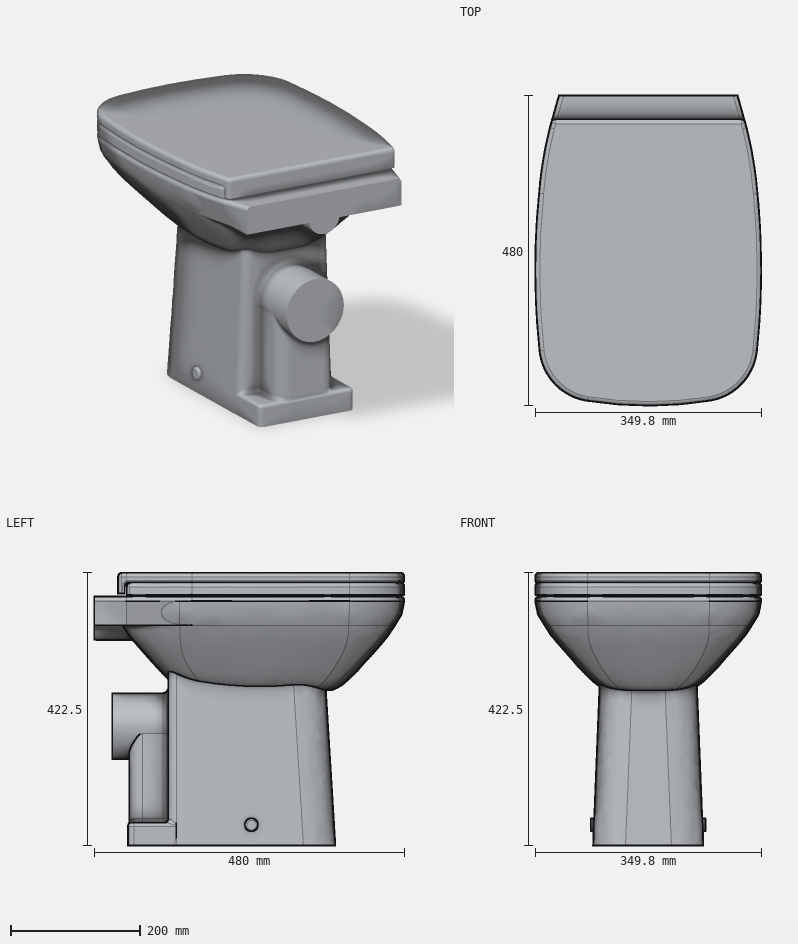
import cadquery as cq

front_y = -480.0
half_width = 174.9
widest_y = -268.7
front_corner_x = 160.0
front_corner_y = -458.5
front_corner_radius = 88.5
side_end_x = 169.0
side_end_y = -151.0
shoulder_mid_x = 162.5
shoulder_mid_y = -100.0
shoulder_x = 152.0
shoulder_y = -49.5
rear_half_width = 138.0
top_edge_radius = 6.5

clearance = 5.0
pick_tolerance = 0.5

lid_top = 422.5
seat_top = 407.0
seat_bottom = 387.5
bowl_top = 385.5
rim_bottom = 378.0
flange_bottom = 340.5

lid_rear_y = -37.0
lid_skirt_thickness = 10.5
lid_skirt_bottom = 389.5
lid_inner_radius = 6.5
lid_lower_edge = 3.5
seat_rear_gap = 3.0
seat_corner_radius = 5.0
seat_lower_edge = 1.5
rear_pad_diameter = 21.0
rear_pad_x = 80.5
rear_pad_y = -69.5
front_pad_diameter = 12.0
front_pad_x = 151.5
front_pad_y = -361.5

basin_rear_y = -29.8
basin_rear_corner_x = 151.0
upper_basin_levels = [
    (rim_bottom, 0.0, front_corner_radius, 115.0),
    (360.0, 3.5, 85.0, 112.0),
    (flange_bottom, 14.5, 74.0, 101.0),
]
lower_basin_levels = [
    (flange_bottom, 14.5, 74.0, 101.0),
    (313.0, 34.5, 53.7, 81.5),
    (279.5, 64.5, 38.5, 62.5),
    (254.5, 89.0, 33.5, 57.5),
    (240.0, 113.0, 33.5, 48.0),
]
flange_shoulder_inset = 13.5
flange_side_inset = 14.5

pedestal_half_width = 85.5
pedestal_front_y = -373.5
pedestal_rear_y = -114.5
pedestal_height = 273.5
pedestal_side_draft = 11.0
pedestal_front_draft = 17.0
pedestal_front_corner = 50.0
pedestal_rear_corner = 12.5

outlet_diameter = 102.0
outlet_z = 185.0
outlet_rear_y = -28.0
outlet_length = 110.5
root_radius = 8.5
support_half_width = 50.0
support_rear_y = -54.0
support_corner_radius = 20.5
foot_half_width = 85.0
foot_rear_y = -52.5
foot_height = 35.5
foot_corner_radius = 9.0
foot_edge_radius = 5.5
foot_root_radius = 6.5

inlet_diameter = 55.0
inlet_z = 345.5
inlet_length = 96.0

cap_diameter = 20.0
cap_face_diameter = 15.0
cap_y = -243.5
cap_z = 32.0
cap_outer_x = 89.5
cap_inner_x = 81.5


def plan_slab(bottom, top, rear_y):
    """Slab with the shared plan outline, cut off square at rear_y."""
    slab = (
        cq.Workplane("XY", origin=(0, 0, bottom))
        .moveTo(-front_corner_x, front_corner_y)
        .threePointArc((0, front_y), (front_corner_x, front_corner_y))
        .threePointArc((half_width, widest_y), (side_end_x, side_end_y))
        .threePointArc((shoulder_mid_x, shoulder_mid_y), (shoulder_x, shoulder_y))
        .lineTo(rear_half_width, 0)
        .lineTo(-rear_half_width, 0)
        .lineTo(-shoulder_x, shoulder_y)
        .threePointArc((-shoulder_mid_x, shoulder_mid_y), (-side_end_x, side_end_y))
        .threePointArc((-half_width, widest_y), (-front_corner_x, front_corner_y))
        .close()
        .extrude(top - bottom)
    )
    front_corners = edges_within(half_width, front_y, front_corner_y, bottom, top)
    slab = slab.edges("|Z").edges(front_corners).fillet(front_corner_radius)
    return slab.intersect(box_between(half_width + clearance, front_y - clearance, rear_y, bottom, top))


def edges_within(half_x, y_min, y_max, bottom, top):
    """Selector for edges that lie wholly in a box centred on x = 0, with a small tolerance."""
    t = pick_tolerance
    return cq.selectors.BoxSelector(
        (-half_x - t, y_min - t, bottom - t), (half_x + t, y_max + t, top + t), boundingbox=True
    )


def box_between(half_x, y_min, y_max, bottom, top):
    """Box centred on x = 0 between the given y and z limits."""
    return cq.Workplane("XY").box(2 * half_x, y_max - y_min, top - bottom, centered=False).translate(
        (-half_x, y_min, bottom)
    )


def pipe(diameter, z, rear_y, length):
    """Cylinder along Y on the mirror plane, reaching forward from rear_y."""
    return cq.Workplane("XZ", origin=(0, rear_y, z)).circle(diameter / 2).extrude(length)


def basin_section(height, inset, front_radius, rear_radius):
    """Closed wire of the basin at one height."""
    corner_x = front_corner_x - inset
    corner_y = front_corner_y + inset
    rear_x = basin_rear_corner_x - inset
    rear_y = basin_rear_y - inset
    sharp = (
        cq.Workplane("XY", origin=(0, 0, height))
        .moveTo(-corner_x, corner_y)
        .threePointArc((0, front_y + inset), (corner_x, corner_y))
        .threePointArc((half_width - inset, widest_y), (rear_x, rear_y))
        .lineTo(-rear_x, rear_y)
        .threePointArc((-half_width + inset, widest_y), (-corner_x, corner_y))
        .close()
        .val()
    )
    face = cq.Face.makeFromWires(sharp)
    face = face.fillet2D(front_radius, [v for v in face.Vertices() if v.Y < corner_y + clearance])
    face = face.fillet2D(rear_radius, [v for v in face.Vertices() if v.Y > rear_y - clearance])
    return face.outerWire()


def make_basin():
    upper = cq.Solid.makeLoft([basin_section(*level) for level in upper_basin_levels])
    lower = cq.Solid.makeLoft([basin_section(*level) for level in lower_basin_levels])
    return cq.Workplane(upper).union(cq.Workplane(lower))


def flange_section(height, shoulder_inset, side_inset):
    """Closed wire of the rear flange, from the rear face to the end of the side arcs."""
    mid_inset = (shoulder_inset + side_inset) / 2
    mid_x = shoulder_mid_x - mid_inset
    end_x = side_end_x - side_inset
    neck_x = shoulder_x - shoulder_inset
    return (
        cq.Workplane("XY", origin=(0, 0, height))
        .moveTo(-rear_half_width, 0)
        .lineTo(-neck_x, shoulder_y)
        .threePointArc((-mid_x, shoulder_mid_y), (-end_x, side_end_y))
        .lineTo(end_x, side_end_y)
        .threePointArc((mid_x, shoulder_mid_y), (neck_x, shoulder_y))
        .lineTo(rear_half_width, 0)
        .close()
        .val()
    )


def make_flange():
    lower = flange_section(flange_bottom, flange_shoulder_inset, flange_side_inset)
    upper = flange_section(rim_bottom, 0, 0)
    return cq.Workplane(cq.Solid.makeLoft([lower, upper], True))


def pedestal_section(height, narrowing, front_setback):
    """Closed wire of the pedestal at one height, with large front and small rear corners."""
    x = pedestal_half_width - narrowing
    y = pedestal_front_y + front_setback
    face = cq.Face.makeFromWires(
        cq.Workplane("XY", origin=(0, 0, height))
        .polyline([(-x, y), (x, y), (x, pedestal_rear_y), (-x, pedestal_rear_y)])
        .close()
        .val()
    )
    face = face.fillet2D(pedestal_front_corner, [v for v in face.Vertices() if v.Y < y + clearance])
    rear_vertices = [v for v in face.Vertices() if v.Y > pedestal_rear_y - clearance]
    face = face.fillet2D(pedestal_rear_corner, rear_vertices)
    return face.outerWire()


def make_pedestal():
    lower = pedestal_section(0, 0, 0)
    upper = pedestal_section(pedestal_height, pedestal_side_draft, pedestal_front_draft)
    return cq.Workplane(cq.Solid.makeLoft([lower, upper], True))


def make_foot_and_support():
    """Low foot behind the pedestal with the upright that carries the outlet."""
    inside_y = pedestal_rear_y - pedestal_rear_corner
    foot = box_between(foot_half_width, inside_y, foot_rear_y, 0, foot_height)
    foot = foot.edges("|Z and >Y").fillet(foot_corner_radius)
    foot = foot.faces(">Z").edges("not <Y").fillet(foot_edge_radius)
    support = box_between(support_half_width, inside_y, support_rear_y, 0, outlet_z)
    support = support.edges("|Z and >Y").fillet(support_corner_radius)
    return foot.union(support)


def round_rear_roots(base):
    """Round the inside edges where support, outlet and foot meet each other and the pedestal."""
    root_half_x = outlet_diameter / 2
    rear_face = edges_within(root_half_x, pedestal_rear_y, pedestal_rear_y, foot_height, pedestal_height)
    base = base.edges(rear_face).fillet(root_radius)
    support_start_y = pedestal_rear_y + root_radius
    foot_top = edges_within(support_half_width, support_start_y, support_rear_y, foot_height, foot_height)
    return base.edges(foot_top).fillet(foot_root_radius)


def make_cap(side):
    """Round screw cap on the pedestal flank; side is +1 or -1 in x."""
    cap = (
        cq.Workplane("YZ", origin=(side * cap_inner_x, cap_y, cap_z))
        .circle(cap_diameter / 2)
        .extrude(side * (cap_outer_x - cap_inner_x))
    )
    outer_face = ">X" if side > 0 else "<X"
    return cap.faces(outer_face).edges().fillet((cap_diameter - cap_face_diameter) / 2)


def make_bowl(caps):
    rim = plan_slab(rim_bottom, bowl_top, 0)
    rim = rim.faces(">Z").edges("not >Y").fillet(top_edge_radius)
    outlet = pipe(outlet_diameter, outlet_z, outlet_rear_y, outlet_length)
    inlet = pipe(inlet_diameter, inlet_z, 0, inlet_length)
    bowl = make_pedestal().union(make_foot_and_support()).union(outlet)
    bowl = round_rear_roots(bowl)
    bowl = bowl.union(make_basin()).union(make_flange()).union(rim).union(inlet)
    for cap in caps:
        bowl = bowl.cut(cap)
    return bowl


def make_seat():
    rear_y = lid_rear_y - lid_skirt_thickness - seat_rear_gap
    seat = plan_slab(seat_bottom, seat_top, rear_y)
    seat = seat.edges("|Z and >Y").fillet(seat_corner_radius)
    seat = seat.faces(">Z").edges().fillet(top_edge_radius)
    seat = seat.faces("<Z").edges().fillet(seat_lower_edge)
    pad_height = seat_bottom - bowl_top
    pads = [
        (rear_pad_diameter, rear_pad_x, rear_pad_y),
        (front_pad_diameter, front_pad_x, front_pad_y),
    ]
    for diameter, x, y in pads:
        for side in (-1, 1):
            pad = cq.Workplane("XY", origin=(side * x, y, bowl_top)).circle(diameter / 2)
            seat = seat.union(pad.extrude(pad_height))
    return seat


def make_lid():
    """Flat lid with a skirt that hangs down behind the seat."""
    skirt_front_y = lid_rear_y - lid_skirt_thickness
    lid = plan_slab(lid_skirt_bottom, lid_top, lid_rear_y)
    recess_half_x = half_width + clearance
    recess_front_y = front_y - clearance
    recess = box_between(recess_half_x, recess_front_y, skirt_front_y, lid_skirt_bottom, seat_top)
    lid = lid.cut(recess)
    upright_corners = lid.edges("|Z").edges(
        edges_within(half_width, lid_rear_y, lid_rear_y, lid_skirt_bottom, lid_top)
    )
    lid = lid.faces(">Z").edges().add(upright_corners).fillet(top_edge_radius)
    inner_corner = edges_within(half_width, skirt_front_y, skirt_front_y, seat_top, seat_top)
    lid = lid.edges(inner_corner).fillet(lid_inner_radius)
    underside_rear_y = skirt_front_y - lid_inner_radius
    underside = edges_within(half_width, front_y, underside_rear_y, seat_top, seat_top)
    lid = lid.edges(underside).fillet(lid_lower_edge)
    return lid


caps = [make_cap(side) for side in (-1, 1)]
bowl = make_bowl(caps)
seat = make_seat()
lid = make_lid()

result = cq.Compound.makeCompound([bowl.val(), seat.val(), lid.val(), *[cap.val() for cap in caps]])